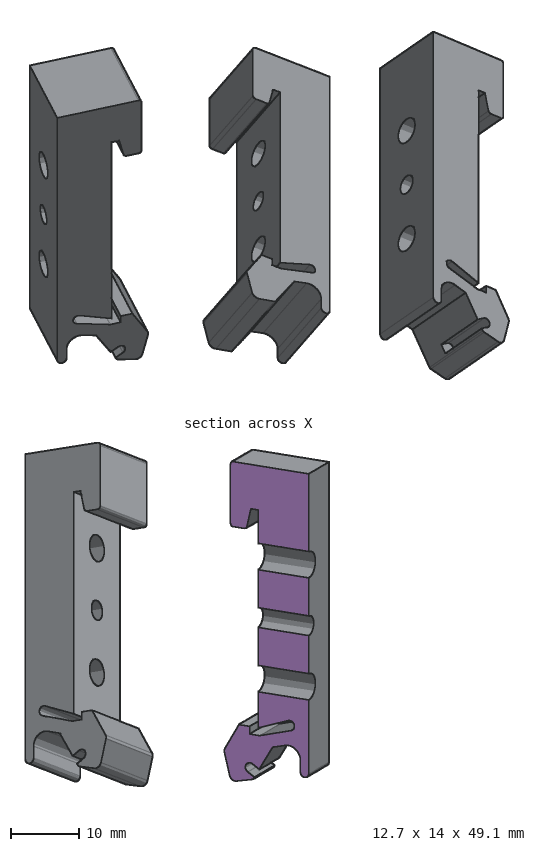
import cadquery as cq
import math

WIDTH = 12.7
HEIGHT = 49.15
DEPTH_AT_HOOK = 13.0
BODY_DEPTH = 8.4

HOOK_TIP_Z = 39.05
HOOK_NOTCH_Z = 42.25
HOOK_ROOT_Y = 9.6
HOOK_TIP_Y = 10.3
HOOK_RADIUS = 0.5

SLOT_END_RADIUS = 0.75
SLOT_END = (3.2, 9.95)
SLOT_UPPER_MOUTH = (BODY_DEPTH, 8.75)
SLOT_LOWER_MOUTH = (8.15, 7.65)

LATCH_TILT = math.radians(14)
LATCH_CATCH_Y = 9.8
LATCH_TOP_Z = 8.85
LATCH_TOP_Y = 11.6
LATCH_NOSE_Y = 14.1
LATCH_NOSE_RADIUS = 0.75
LATCH_HEEL_Y = 12.9
LATCH_HEEL_RADIUS = 1.0
LATCH_TOE_Y = 9.25
LATCH_TOE_RADIUS = 0.4
ARM_ROOT = (6.0, 6.15)
ARM_SLOPE = math.radians(16)
ARM_FILLET = 1.95

LIP_THICKNESS = 1.45
LIP_BOTTOM_Z = 2.3

DRIVER_START_X = 4.05
DRIVER_WIDTH = 1.45
DRIVER_DEPTH = 2.05
DRIVER_FLOOR_Z = 1.15

HOLE_CENTER_Z = 25.75
HOLE_SPACING = 9.4
SCREW_HOLE = 4.0
CENTER_HOLE = 2.95

heel_z = -LATCH_HEEL_RADIUS * (math.sin(LATCH_TILT) + math.cos(LATCH_TILT) - 1)
heel = (LATCH_HEEL_Y, heel_z)
toe = (LATCH_TOE_Y, heel_z + (LATCH_HEEL_Y - LATCH_TOE_Y) * math.tan(LATCH_TILT))
nose = (LATCH_NOSE_Y, heel_z + (LATCH_NOSE_Y - LATCH_HEEL_Y) / math.tan(LATCH_TILT))
arm_corner = (LIP_THICKNESS, ARM_ROOT[1] + (ARM_ROOT[0] - LIP_THICKNESS) * math.tan(ARM_SLOPE))


def tangent_point(point, center, radius, side):
    """Point where a line from `point` touches a circle; side is +1 or -1."""
    dy = point[0] - center[0]
    dz = point[1] - center[1]
    angle = math.atan2(dz, dy) + side * math.acos(radius / math.hypot(dy, dz))
    return center[0] + radius * math.cos(angle), center[1] + radius * math.sin(angle)


def clip_profile():
    """Closed side outline of the clip in the Y-Z plane, before its corners are rounded."""
    slot_upper = tangent_point(SLOT_UPPER_MOUTH, SLOT_END, SLOT_END_RADIUS, 1)
    slot_lower = tangent_point(SLOT_LOWER_MOUTH, SLOT_END, SLOT_END_RADIUS, -1)
    slot_tip = (SLOT_END[0] - SLOT_END_RADIUS, SLOT_END[1])
    lip_radius = LIP_THICKNESS / 2
    lip_arc_z = LIP_BOTTOM_Z + lip_radius
    return (
        cq.Workplane("YZ")
        .moveTo(0, lip_arc_z)
        .lineTo(0, HEIGHT)
        .lineTo(DEPTH_AT_HOOK, HEIGHT)
        .lineTo(DEPTH_AT_HOOK, HOOK_TIP_Z)
        .lineTo(HOOK_TIP_Y, HOOK_TIP_Z)
        .lineTo(HOOK_ROOT_Y, HOOK_NOTCH_Z)
        .lineTo(BODY_DEPTH, HOOK_NOTCH_Z)
        .lineTo(*SLOT_UPPER_MOUTH)
        .lineTo(*slot_upper)
        .threePointArc(slot_tip, slot_lower)
        .lineTo(*SLOT_LOWER_MOUTH)
        .lineTo(LATCH_CATCH_Y, SLOT_LOWER_MOUTH[1])
        .lineTo(LATCH_CATCH_Y, LATCH_TOP_Z)
        .lineTo(LATCH_TOP_Y, LATCH_TOP_Z)
        .lineTo(*nose)
        .lineTo(*heel)
        .lineTo(*toe)
        .lineTo(*ARM_ROOT)
        .lineTo(*arm_corner)
        .lineTo(LIP_THICKNESS, lip_arc_z)
        .threePointArc((lip_radius, LIP_BOTTOM_Z), (0, lip_arc_z))
        .close()
    )


def round_corner(body, corner, radius):
    """Round the edge that runs along X through the profile corner (Y, Z)."""
    edge_middle = (WIDTH / 2, corner[0], corner[1])
    return body.edges(cq.selectors.NearestToPointSelector(edge_middle)).fillet(radius)


def driver_slot():
    """Round-ended slot that enters square to the sloping inner face of the latch head."""
    face_y = ARM_ROOT[0] - toe[0]
    face_z = ARM_ROOT[1] - toe[1]
    face_length = math.hypot(face_y, face_z)
    along = (face_y / face_length, face_z / face_length)
    inward = (along[1], -along[0])
    start = (DRIVER_FLOOR_Z - toe[1]) / along[1]
    radius = DRIVER_WIDTH / 2

    def place(up, depth):
        return tuple(toe[i] + (start + up) * along[i] + depth * inward[i] for i in (0, 1))

    straight = DRIVER_DEPTH - radius
    return (
        cq.Workplane("YZ", origin=(DRIVER_START_X, 0, 0))
        .moveTo(*place(0, -radius))
        .lineTo(*place(0, straight))
        .threePointArc(place(radius, DRIVER_DEPTH), place(DRIVER_WIDTH, straight))
        .lineTo(*place(DRIVER_WIDTH, -radius))
        .close()
        .extrude(WIDTH - DRIVER_START_X)
    )


def cross_hole(diameter, z):
    """Round cutter along Y, centred across the width."""
    return (
        cq.Workplane("XZ")
        .center(WIDTH / 2, z)
        .circle(diameter / 2)
        .extrude(-BODY_DEPTH)
    )


result = clip_profile().extrude(WIDTH)

for corner, radius in (
    ((DEPTH_AT_HOOK, HEIGHT), HOOK_RADIUS),
    ((DEPTH_AT_HOOK, HOOK_TIP_Z), HOOK_RADIUS),
    ((HOOK_TIP_Y, HOOK_TIP_Z), HOOK_RADIUS),
    (nose, LATCH_NOSE_RADIUS),
    (heel, LATCH_HEEL_RADIUS),
    (toe, LATCH_TOE_RADIUS),
    (arm_corner, ARM_FILLET),
):
    result = round_corner(result, corner, radius)

result = result.cut(driver_slot())

for diameter, offset in (
    (SCREW_HOLE, -HOLE_SPACING),
    (CENTER_HOLE, 0),
    (SCREW_HOLE, HOLE_SPACING),
):
    result = result.cut(cross_hole(diameter, HOLE_CENTER_Z + offset))